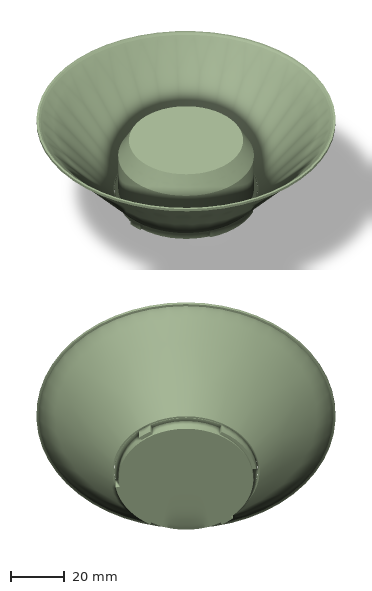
import cadquery as cq
import math

total_height = 36.32
lug_bottom = 0.65
seat_height = 4.4
cap_top = 27.0
cap_chamfer_height = 7.0

base_radius = 50.0 / 2
lug_radius = 53.0 / 2
lug_spans = [(143.0, 193.0), (252.0, 263.0)]
lug_copies = 2
lug_overlap = 1.0

cap_radius = 50.4 / 2
cap_chamfer_width = 4.0
flange_radius = lug_radius
lip_thickness = 0.55

rim_radius = 111.0 / 2
rim_thickness = 1.0
rim_overhang = 1.0
rim_land = 0.8
rim_bevel_depth = 0.6
shade_bore_radius = 53.2 / 2
shade_wall = 0.85
cone_bottom_radius = 27.3

rim_bottom = total_height - rim_thickness
cone_top_radius = rim_radius - rim_overhang


def cone_radius(height):
    """Outer radius of the shade's cone at a given height."""
    slope = (cone_top_radius - cone_bottom_radius) / (rim_bottom - seat_height)
    return cone_bottom_radius + slope * (height - seat_height)


def annular_sector(inner, outer, start, end, bottom, top):
    """Ring segment between two angles, with radial end faces."""
    def at(radius, degrees):
        angle = math.radians(degrees)
        return (radius * math.cos(angle), radius * math.sin(angle))

    middle = (start + end) / 2
    return (
        cq.Workplane("XY", origin=(0, 0, bottom))
        .moveTo(*at(inner, start))
        .lineTo(*at(outer, start))
        .threePointArc(at(outer, middle), at(outer, end))
        .lineTo(*at(inner, end))
        .threePointArc(at(inner, middle), at(inner, start))
        .close()
        .extrude(top - bottom)
    )


def make_base():
    """Round disc with two long and two short lugs on its side."""
    base = cq.Workplane("XY").circle(base_radius).extrude(seat_height)
    lug_root = base_radius - lug_overlap
    for copy in range(lug_copies):
        turn = copy * 360.0 / lug_copies
        for start, end in lug_spans:
            lug = annular_sector(
                lug_root, lug_radius, start + turn, end + turn, lug_bottom, seat_height
            )
            base = base.union(lug)
    return base


def make_cap():
    """Solid of revolution: thin foot flange, straight side and chamfered top."""
    flange_top = seat_height + lip_thickness
    return (
        cq.Workplane("XZ")
        .moveTo(0, seat_height)
        .lineTo(flange_radius, seat_height)
        .lineTo(flange_radius, flange_top)
        .lineTo(cap_radius, flange_top)
        .lineTo(cap_radius, cap_top - cap_chamfer_height)
        .lineTo(cap_radius - cap_chamfer_width, cap_top)
        .lineTo(0, cap_top)
        .close()
        .revolve(360, (0, 0, 0), (0, 1, 0))
    )


def make_shade():
    """Thin open cone with an outward rim with a bevelled inner edge and a lip at its foot."""
    lip_top = seat_height + lip_thickness
    bevel_bottom = total_height - rim_bevel_depth
    return (
        cq.Workplane("XZ")
        .moveTo(shade_bore_radius, seat_height)
        .lineTo(cone_bottom_radius, seat_height)
        .lineTo(cone_top_radius, rim_bottom)
        .lineTo(rim_radius, rim_bottom)
        .lineTo(rim_radius, total_height)
        .lineTo(rim_radius - rim_land, total_height)
        .lineTo(cone_radius(bevel_bottom) - shade_wall, bevel_bottom)
        .lineTo(cone_radius(lip_top) - shade_wall, lip_top)
        .lineTo(shade_bore_radius, lip_top)
        .close()
        .revolve(360, (0, 0, 0), (0, 1, 0))
    )


base = make_base()
cap = make_cap()
shade = make_shade()

result = cq.Compound.makeCompound([base.val(), cap.val(), shade.val()])